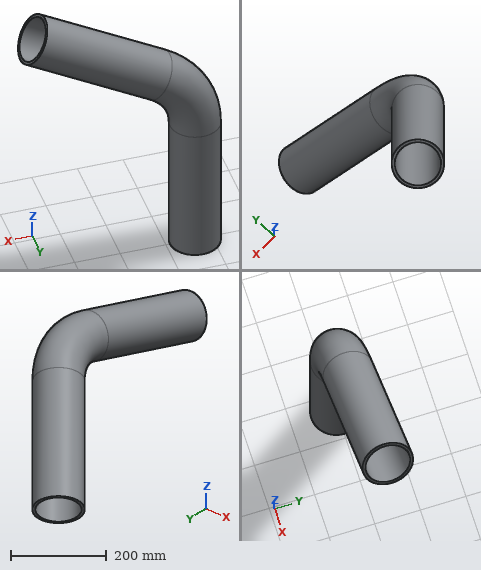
import cadquery as cq
import math

overall_height = 662.5
outer_diameter = 110.0
bore_diameter = 97.0
bend_angle = 60.0
bend_radius = 1.5 * outer_diameter

sin_bend = math.sin(math.radians(bend_angle))
cos_bend = math.cos(math.radians(bend_angle))
bend_rise = bend_radius * sin_bend
end_rim_rise = outer_diameter / 2 * sin_bend
leg_length = (overall_height - bend_rise - end_rim_rise) / (1 + cos_bend)

bottom = (0, 0)
bend_start = (0, leg_length)
half_angle = math.radians(bend_angle / 2)
bend_middle = (
    bend_radius * (1 - math.cos(half_angle)),
    leg_length + bend_radius * math.sin(half_angle),
)
bend_end = (bend_radius * (1 - cos_bend), leg_length + bend_rise)
top = (bend_end[0] + leg_length * sin_bend, bend_end[1] + leg_length * cos_bend)

centreline = (
    cq.Workplane("XZ")
    .moveTo(*bottom)
    .lineTo(*bend_start)
    .threePointArc(bend_middle, bend_end)
    .lineTo(*top)
)

result = (
    cq.Workplane("XY")
    .circle(outer_diameter / 2)
    .circle(bore_diameter / 2)
    .sweep(centreline)
)